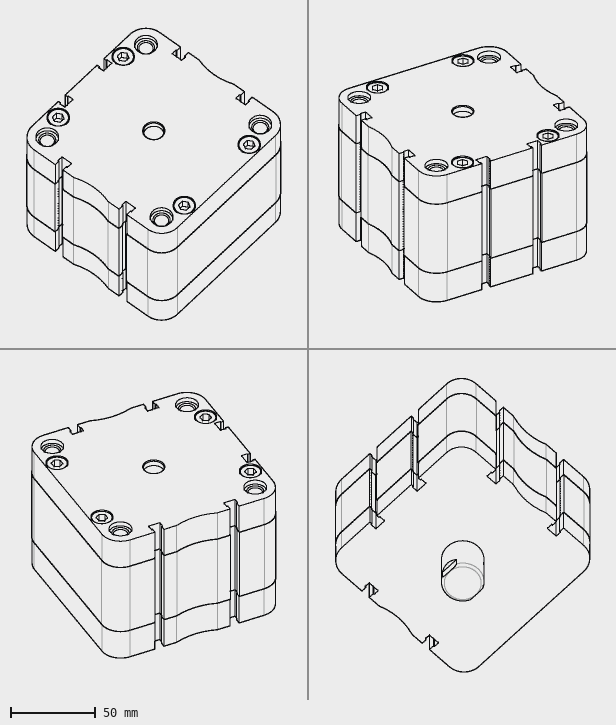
import cadquery as cq
import math

total_height = 117.0
side = 113.5
tube_height = 47.7
upper_cap_height = 19.4
lower_cap_height = 19.9
rod_reach = total_height - tube_height - upper_cap_height - lower_cap_height

corner_radius = 12.5
cap_inset = 0.2
saddle_width = 26.9
saddle_depth = 2.3

neck_width = 6.0
cavity_width = 7.4
y_wall_slot_offset = 24.8
y_wall_neck_depth = 3.4
y_wall_slot_depth = 6.9
x_wall_slot_offset = 17.4
x_wall_neck_depth = 1.8
x_wall_slot_depth = 5.6

mount_spacing = 88.9
mount_counterbore_diameter = 13.5
mount_counterbore_depth = 2.9
mount_hole_diameter = 8.4
mount_countersink_diameter = 10.1

screw_x = 49.0
screw_y = 29.2
head_seat_diameter = 13.1
head_top_diameter = 12.0
head_drop = 0.5
hex_across_flats = 6.0
hex_depth = 5.0

centring_diameter = 12.0
centring_mouth_diameter = 13.1
centring_depth = 3.7

rod_diameter = 25.0
rod_flat_width = 22.0
rod_flat_length = 7.1
rod_end_fillet = 1.6

tube_bottom = lower_cap_height
tube_top = tube_bottom + tube_height
body_top = tube_top + upper_cap_height

signs = (-1, 1)
z_axis = ((0, 0, 0), (0, 0, 1))
mount_points = [(sx * mount_spacing / 2, sy * mount_spacing / 2) for sx in signs for sy in signs]
screw_points = [(sx * screw_x, sy * screw_y) for sx in signs for sy in signs]


def profile_block(bottom, height, inset=0.0):
    """Rounded square block with the saddles and T-slots, its walls set back by `inset`."""
    half = side / 2 - inset
    block = cq.Workplane().box(2 * half, 2 * half, height, centered=(True, True, False))
    block = block.edges("|Z").fillet(corner_radius - inset)
    y_wall_slot = t_slot(half, height, y_wall_neck_depth, y_wall_slot_depth)
    x_wall_slot = t_slot(half, height, x_wall_neck_depth, x_wall_slot_depth)
    for sign in signs:
        slot_at_minus_y = y_wall_slot.translate((sign * y_wall_slot_offset, 0, 0))
        slot_at_minus_x = x_wall_slot.translate((sign * x_wall_slot_offset, 0, 0)).rotate(*z_axis, -90)
        block = block.cut(saddle(sign, half, height))
        block = block.cut(slot_at_minus_y)
        block = block.cut(slot_at_minus_y.rotate(*z_axis, 180))
        block = block.cut(slot_at_minus_x)
    return block.translate((0, 0, bottom))


def saddle(sign, half, height):
    """Arched cutter for the wall at Y = sign * half."""
    wall = sign * half
    return (
        cq.Workplane()
        .moveTo(-saddle_width / 2, wall)
        .threePointArc((0, wall - sign * saddle_depth), (saddle_width / 2, wall))
        .close()
        .extrude(height)
    )


def t_slot(half, height, neck_depth, slot_depth):
    """Slot cutter, open at the wall, centred on X = 0 in the wall at Y = -half."""
    neck = cq.Workplane().box(neck_width, 2 * neck_depth, height, centered=(True, True, False))
    cavity = (
        cq.Workplane()
        .box(cavity_width, slot_depth - neck_depth, height, centered=(True, False, False))
        .translate((0, neck_depth, 0))
    )
    return neck.union(cavity).translate((0, -half, 0))


def cone_depth(large_diameter, small_diameter):
    """Height of a 45 degree cone between two diameters."""
    return (large_diameter - small_diameter) / 2


def mount_hole():
    """Counterbored, countersunk hole down through the cap, cut from Z = 0."""
    sink_depth = cone_depth(mount_countersink_diameter, mount_hole_diameter)
    return (
        cq.Workplane("XZ")
        .polyline(
            [
                (0, 0),
                (mount_counterbore_diameter / 2, 0),
                (mount_counterbore_diameter / 2, -mount_counterbore_depth),
                (mount_countersink_diameter / 2, -mount_counterbore_depth),
                (mount_hole_diameter / 2, -mount_counterbore_depth - sink_depth),
                (mount_hole_diameter / 2, -upper_cap_height),
                (0, -upper_cap_height),
            ]
        )
        .close()
        .revolve(360, (0, 0, 0), (0, 1, 0))
    )


def screw_recess():
    """Round seat down to a bevelled screw head, with the head's hexagon socket, cut from Z = 0."""
    bevel = cone_depth(head_seat_diameter, head_top_diameter)
    seat = (
        cq.Workplane("XZ")
        .polyline(
            [
                (0, 0),
                (head_seat_diameter / 2, 0),
                (head_seat_diameter / 2, -head_drop - bevel),
                (head_top_diameter / 2, -head_drop),
                (0, -head_drop),
            ]
        )
        .close()
        .revolve(360, (0, 0, 0), (0, 1, 0))
    )
    hex_across_corners = hex_across_flats / math.cos(math.pi / 6)
    socket = (
        cq.Workplane()
        .transformed(rotate=(0, 0, 30))
        .polygon(6, hex_across_corners)
        .extrude(-head_drop - hex_depth)
    )
    return seat.union(socket)


def centring_hole():
    """Blind hole with a bevelled mouth, cut from Z = 0."""
    bevel = cone_depth(centring_mouth_diameter, centring_diameter)
    return (
        cq.Workplane("XZ")
        .polyline(
            [
                (0, 0),
                (centring_mouth_diameter / 2, 0),
                (centring_diameter / 2, -bevel),
                (centring_diameter / 2, -centring_depth),
                (0, -centring_depth),
            ]
        )
        .close()
        .revolve(360, (0, 0, 0), (0, 1, 0))
    )


def make_tube():
    return profile_block(tube_bottom, tube_height)


def make_upper_cap():
    cap = profile_block(tube_top, upper_cap_height, cap_inset)
    for x, y in mount_points:
        cap = cap.cut(mount_hole().translate((x, y, body_top)))
    for x, y in screw_points:
        cap = cap.cut(screw_recess().translate((x, y, body_top)))
    return cap.cut(centring_hole().translate((0, 0, body_top)))


def make_lower_cap():
    bore = cq.Workplane().circle(rod_diameter / 2).extrude(lower_cap_height)
    return profile_block(0, lower_cap_height, cap_inset).cut(bore)


def make_rod():
    """Rod through the lower cap, with a rounded tip and two wrench flats facing -X and +X."""
    rod = cq.Workplane().circle(rod_diameter / 2).extrude(rod_reach + lower_cap_height)
    rod = rod.faces("<Z").edges().fillet(rod_end_fillet)
    run_out = (rod_diameter - rod_flat_width) / 2
    for sign in signs:
        flat = (
            cq.Workplane("XZ")
            .polyline(
                [
                    (sign * rod_flat_width / 2, 0),
                    (sign * rod_flat_width / 2, rod_flat_length),
                    (sign * rod_diameter / 2, rod_flat_length + run_out),
                    (sign * rod_diameter / 2, 0),
                ]
            )
            .close()
            .extrude(rod_diameter / 2, both=True)
        )
        rod = rod.cut(flat)
    return rod.translate((0, 0, -rod_reach))


tube = make_tube()
upper_cap = make_upper_cap()
lower_cap = make_lower_cap()
rod = make_rod()

result = cq.Compound.makeCompound([tube.val(), upper_cap.val(), lower_cap.val(), rod.val()])